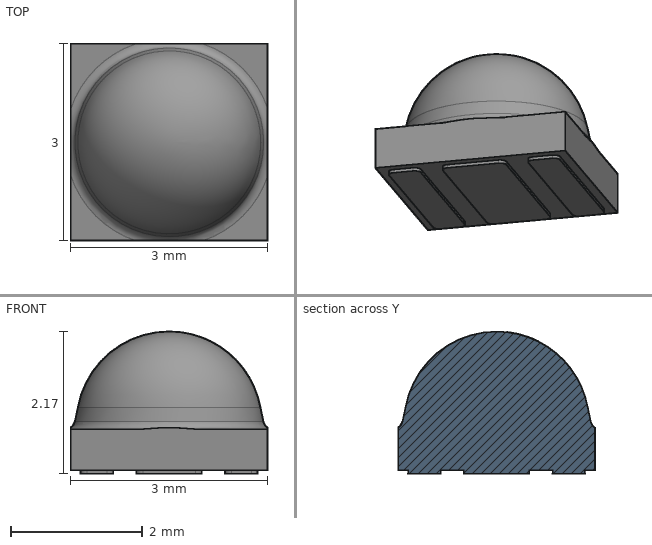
import cadquery as cq
import math

base_side = 3.0
total_height = 2.17
pad_height = 0.05
base_top = 0.678

pad_margin = 0.15
pad_length = base_side - 2 * pad_margin
outer_pad_width = 0.5
center_pad_width = 2 * outer_pad_width
pad_corner_radius = 0.1
outer_pad_offset = base_side / 2 - pad_margin - outer_pad_width / 2

dome_bottom = 1.01
dome_base_radius = 1.392
foot_outer_radius = 1.585
foot_fillet_radius = 0.15
skirt_draft = math.radians(12)


def make_pad(x_center, width):
    """Full-length pad with rounded vertical corners."""
    pad = cq.Workplane("XY").center(x_center, 0).rect(width, pad_length).extrude(pad_height)
    return pad.edges("|Z").fillet(pad_corner_radius)


def make_body():
    """Base and lens revolved together, then trimmed to the square sides of the base."""
    foot_center_z = base_top + foot_fillet_radius

    def foot_point(angle):
        """Point on the concave foot arc, at an angle below horizontal."""
        return (
            foot_outer_radius - foot_fillet_radius * math.cos(angle),
            foot_center_z - foot_fillet_radius * math.sin(angle),
        )

    dome_height = total_height - dome_bottom
    sphere_radius = (dome_base_radius**2 + dome_height**2) / (2 * dome_height)
    sphere_center_z = total_height - sphere_radius
    dome_mid = (
        sphere_radius * math.sin(math.pi / 4),
        sphere_center_z + sphere_radius * math.cos(math.pi / 4),
    )
    foot_mid_angle = (skirt_draft + math.pi / 2) / 2

    body = (
        cq.Workplane("XZ")
        .moveTo(0, pad_height)
        .lineTo(base_side, pad_height)
        .lineTo(base_side, base_top)
        .lineTo(foot_outer_radius, base_top)
        .threePointArc(foot_point(foot_mid_angle), foot_point(skirt_draft))
        .lineTo(dome_base_radius, dome_bottom)
        .threePointArc(dome_mid, (0, total_height))
        .close()
        .revolve(360, (0, 0), (0, 1))
    )
    side_trim = cq.Workplane("XY").rect(base_side, base_side).extrude(2 * total_height)
    return body.intersect(side_trim)


result = make_body()
for pad_x, pad_width in (
    (-outer_pad_offset, outer_pad_width),
    (0, center_pad_width),
    (outer_pad_offset, outer_pad_width),
):
    result = result.union(make_pad(pad_x, pad_width))